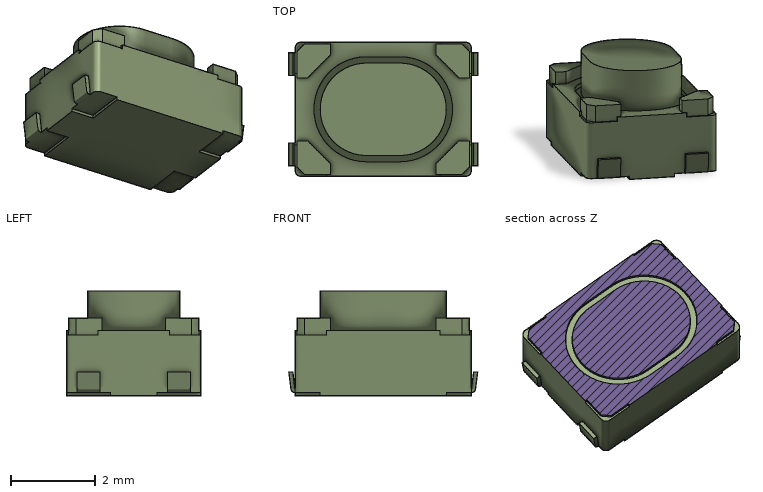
import cadquery as cq
import math

BODY_LENGTH = 4.2
BODY_WIDTH = 3.2
BODY_TOP = 1.45
CORNER_RADIUS = 0.15

COVER_THICKNESS = 0.1
COVER_TOP = BODY_TOP + COVER_THICKNESS
COVER_NOTCH = 0.75

POST_SIZE = 0.8
POST_INSET = 0.05
POST_TOP = 1.85
POST_OUTER_CHAMFER = 0.17
POST_INNER_CHAMFER = 0.55

BUTTON_LENGTH = 3.0
BUTTON_WIDTH = 2.2
BUTTON_TOP = 2.5
BUTTON_CLEARANCE = 0.15

RELIEF_HEIGHT = 0.075
RELIEF_LENGTH = 0.6
RELIEF_WIDTH = 1.05

TERMINAL_SPAN = 4.5
TERMINAL_WIDTH = 0.55
TERMINAL_OFFSET = 1.075
TERMINAL_THICKNESS = 0.1
TERMINAL_TOP = 0.57
TERMINAL_LEAN = math.radians(7)
TERMINAL_BEND_RADIUS = 0.09
TERMINAL_ROOT = 0.1

HALF_LENGTH = BODY_LENGTH / 2
HALF_WIDTH = BODY_WIDTH / 2


def at_four_corners(solid):
    """Mirror a solid from the +X +Y corner to all four corners."""
    pair = solid.union(solid.mirror("YZ"))
    return pair.union(pair.mirror("XZ"))


def rounded_block(bottom, top):
    block = cq.Workplane("XY", origin=(0, 0, bottom)).rect(BODY_LENGTH, BODY_WIDTH).extrude(top - bottom)
    return block.edges("|Z").fillet(CORNER_RADIUS)


def stadium(length, width, bottom, top):
    return cq.Workplane("XY", origin=(0, 0, bottom)).slot2D(length, width).extrude(top - bottom)


def corner_post():
    outer_x = HALF_LENGTH - POST_INSET
    outer_y = HALF_WIDTH - POST_INSET
    inner_x = outer_x - POST_SIZE
    inner_y = outer_y - POST_SIZE
    outline = [
        (inner_x, outer_y),
        (outer_x - POST_OUTER_CHAMFER, outer_y),
        (outer_x, outer_y - POST_OUTER_CHAMFER),
        (outer_x, inner_y),
        (inner_x + POST_INNER_CHAMFER, inner_y),
        (inner_x, inner_y + POST_INNER_CHAMFER),
    ]
    return cq.Workplane("XY", origin=(0, 0, BODY_TOP)).polyline(outline).close().extrude(POST_TOP - BODY_TOP)


def cover_notch():
    """Corner cut of the cover; its slanted side lies in the slanted side of the post."""
    inner_x = HALF_LENGTH - COVER_NOTCH
    inner_y = HALF_WIDTH - COVER_NOTCH
    slant = POST_INNER_CHAMFER - 2 * (POST_INSET + POST_SIZE - COVER_NOTCH)
    outline = [
        (inner_x, HALF_WIDTH),
        (HALF_LENGTH, HALF_WIDTH),
        (HALF_LENGTH, inner_y),
        (inner_x + slant, inner_y),
        (inner_x, inner_y + slant),
    ]
    return cq.Workplane("XY", origin=(0, 0, BODY_TOP)).polyline(outline).close().extrude(COVER_THICKNESS)


def corner_relief():
    center_x = HALF_LENGTH - RELIEF_LENGTH / 2
    center_y = HALF_WIDTH - RELIEF_WIDTH / 2
    return cq.Workplane("XY").center(center_x, center_y).rect(RELIEF_LENGTH, RELIEF_WIDTH).extrude(RELIEF_HEIGHT)


def terminal():
    """Leaning tab with a rounded lower bend, rooted in the housing just above the relief."""
    tip_x = TERMINAL_SPAN / 2
    root_x = HALF_LENGTH - TERMINAL_ROOT
    inner_tip_x = tip_x - TERMINAL_THICKNESS / math.cos(TERMINAL_LEAN)
    inner_bend_z = RELIEF_HEIGHT + TERMINAL_THICKNESS
    bend_x = tip_x - (TERMINAL_TOP - RELIEF_HEIGHT) * math.tan(TERMINAL_LEAN)
    inner_bend_x = inner_tip_x - (TERMINAL_TOP - inner_bend_z) * math.tan(TERMINAL_LEAN)
    profile = [
        (root_x, RELIEF_HEIGHT),
        (bend_x, RELIEF_HEIGHT),
        (tip_x, TERMINAL_TOP),
        (inner_tip_x, TERMINAL_TOP),
        (inner_bend_x, inner_bend_z),
        (root_x, inner_bend_z),
    ]
    start_y = TERMINAL_OFFSET + TERMINAL_WIDTH / 2
    tab = cq.Workplane("XZ", origin=(0, start_y, 0)).polyline(profile).close().extrude(TERMINAL_WIDTH)
    bend_edge = cq.selectors.NearestToPointSelector((bend_x, TERMINAL_OFFSET, RELIEF_HEIGHT))
    return tab.edges(bend_edge).fillet(TERMINAL_BEND_RADIUS)


def cover():
    opening = stadium(
        BUTTON_LENGTH + 2 * BUTTON_CLEARANCE, BUTTON_WIDTH + 2 * BUTTON_CLEARANCE, BODY_TOP, COVER_TOP
    )
    return rounded_block(BODY_TOP, COVER_TOP).cut(at_four_corners(cover_notch())).cut(opening)


housing = rounded_block(0, BODY_TOP).cut(at_four_corners(corner_relief()))
button = stadium(BUTTON_LENGTH, BUTTON_WIDTH, BODY_TOP, BUTTON_TOP)

result = (
    housing.union(cover())
    .union(at_four_corners(corner_post()))
    .union(button)
    .union(at_four_corners(terminal()))
)